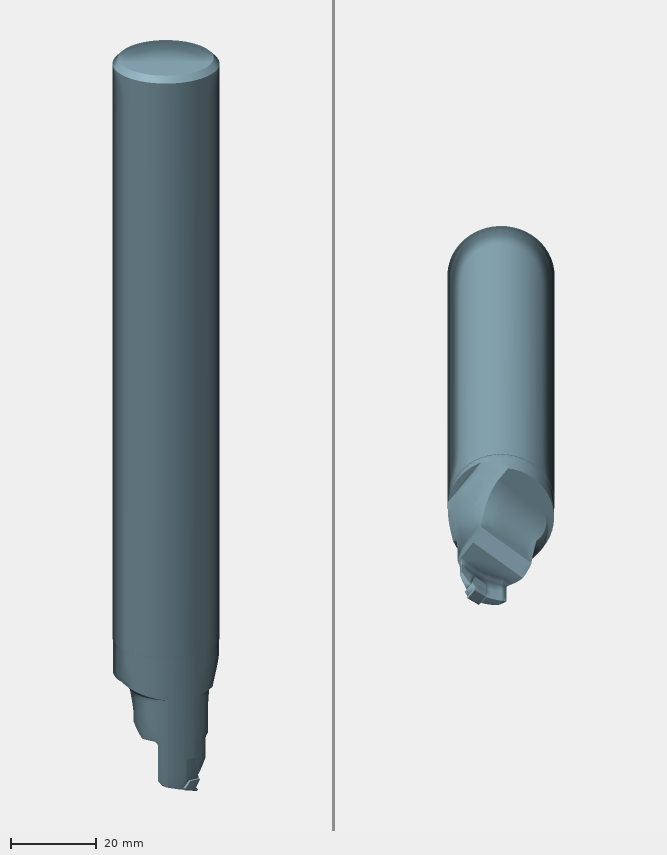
import cadquery as cq
import math


overall_length = 180.0
shank_radius = 24.96 / 2
neck_radius = 24.75 / 2
neck_top_z = 34.5
shank_chamfer = 1.4

head_radius = 9.5
head_back_y = -10.4
head_center_x = neck_radius - head_radius
head_center_y = head_back_y + head_radius
cone_bottom_z = 23.6
head_floor_z = 26.0
cone_height = head_floor_z - cone_bottom_z

head_face_x = 1.65
face_arc_radius = 8.8
face_arc_center_z = head_floor_z - face_arc_radius
face_chamfer_top_z = 16.2
shelf_z = 13.0
face_chamfer = face_chamfer_top_z - shelf_z

head_side_y = 4.4
side_floor_z = 31.7
side_arc_radius = 17.4
side_arc_center_z = 18.3

blade_face_x = 8.75
blade_side_y = 3.3
hollow_radius = 20.0
hollow_center_y = 1.3
hollow_edge_y = -7.2
blade_slope_top_z = 7.4
blade_slope_end = (0.7, 4.0)
blade_low_corner = (-3.4, 0.9)
blade_heel_corner = (-7.2, 1.8)
blade_back_corner = (-8.4, 3.2)
blade_root_fillet = 1.0

insert_face_x = 9.9
insert_rear_x = 12.1
insert_tip_x = 25.23 - shank_radius
insert_width = 3.0
insert_nose_radius = 0.4
insert_top_z = 8.4
insert_back_y = -3.3
insert_back_corner = 0.45
rake_top_y = -0.1
rake_foot = (0.85, 3.0)
rake_hollow = (-0.3, 1.1)
tip_rake = (0.25, 0.5)
tip_y = 0.0
clearance_end_z = 0.9
insert_head_back = (-2.0, 3.0)
insert_heel_z = 1.5

cut_reach = 2 * shank_radius


def cylinder(radius, bottom_z, top_z, x=0.0, y=0.0):
    return cq.Workplane("XY", origin=(x, y, bottom_z)).circle(radius).extrude(top_z - bottom_z)


def side_prism(points, x_start, x_end):
    """Prism along X of an outline given as (y, z) points."""
    return cq.Workplane("YZ", origin=(x_start, 0, 0)).polyline(points).close().extrude(x_end - x_start)


def head_round(bottom_z, top_z):
    """Off-centre round of the head, kept within the neck diameter."""
    off_center = cylinder(head_radius, bottom_z, top_z, head_center_x, head_center_y)
    return off_center.intersect(cylinder(neck_radius, bottom_z, top_z))


def make_shank_and_neck():
    shank = cylinder(shank_radius, neck_top_z, overall_length).faces(">Z").chamfer(shank_chamfer)
    return shank.union(cylinder(neck_radius, head_floor_z, neck_top_z))


def make_head():
    """Off-centre round with a 45 degree cone that runs out into the neck."""
    cone = cq.Workplane(cq.Solid.makeCone(
        head_radius, head_radius + cone_height, cone_height,
        pnt=cq.Vector(head_center_x, head_center_y, cone_bottom_z)))
    cone = cone.intersect(cylinder(neck_radius, cone_bottom_z, head_floor_z))
    return head_round(shelf_z, cone_bottom_z).union(cone)


def make_face_relief():
    """Concave arc, short flat and 45 degree chamfer on the -X side."""
    arc_center_x = head_face_x - face_arc_radius
    diagonal = face_arc_radius * math.sqrt(0.5)
    return (
        cq.Workplane("XZ", origin=(0, cut_reach, 0))
        .moveTo(-cut_reach, head_floor_z)
        .lineTo(arc_center_x, head_floor_z)
        .threePointArc((arc_center_x + diagonal, face_arc_center_z + diagonal),
                       (head_face_x, face_arc_center_z))
        .lineTo(head_face_x, face_chamfer_top_z)
        .lineTo(head_face_x + face_chamfer, shelf_z)
        .lineTo(-cut_reach, shelf_z)
        .close()
        .extrude(2 * cut_reach)
    )


def make_side_relief():
    """Concave arc on the +Y side, from the flat head side up to the neck."""
    arc_center_y = head_side_y + side_arc_radius
    end_angle = math.asin((side_floor_z - side_arc_center_z) / side_arc_radius)

    def arc_point(angle):
        return (arc_center_y - side_arc_radius * math.cos(angle),
                side_arc_center_z + side_arc_radius * math.sin(angle))

    return (
        cq.Workplane("YZ", origin=(-cut_reach, 0, 0))
        .moveTo(head_side_y, shelf_z)
        .lineTo(head_side_y, side_arc_center_z)
        .threePointArc(arc_point(end_angle / 2), arc_point(end_angle))
        .lineTo(cut_reach, side_floor_z)
        .lineTo(cut_reach, shelf_z)
        .close()
        .extrude(2 * cut_reach)
    )


def make_blade():
    """Thin curved blade: round outside, hollow inside, sloped at its lower end."""
    outline = [
        (blade_side_y, shelf_z),
        (blade_side_y, blade_slope_top_z),
        blade_slope_end,
        blade_low_corner,
        blade_heel_corner,
        blade_back_corner,
        (-cut_reach, blade_back_corner[1]),
        (-cut_reach, shelf_z),
    ]
    hollow_half_chord = hollow_center_y - hollow_edge_y
    hollow_center_x = blade_face_x - math.sqrt(hollow_radius ** 2 - hollow_half_chord ** 2)
    blade = side_prism(outline, blade_face_x, cut_reach)
    blade = blade.intersect(head_round(0, shelf_z))
    return blade.cut(cylinder(hollow_radius, 0, shelf_z, hollow_center_x, hollow_center_y))


def make_insert():
    """Flat shank seated in the blade, with a wider cutting head at its lower end."""
    shank_outline = [
        (rake_top_y, insert_top_z),
        rake_foot,
        (insert_back_y, rake_foot[1]),
        (insert_back_y, insert_top_z - insert_back_corner),
        (insert_back_y + insert_back_corner, insert_top_z),
    ]
    head_outline = [
        rake_foot,
        rake_hollow,
        tip_rake,
        (tip_y, 0),
        (insert_back_y, clearance_end_z),
        (insert_back_y, insert_heel_z),
        insert_head_back,
    ]
    foot_outline = [
        insert_head_back,
        (insert_back_y, insert_heel_z),
        (insert_back_y, insert_head_back[1]),
    ]
    shank = side_prism(shank_outline, insert_face_x, insert_rear_x)
    foot = side_prism(foot_outline, insert_face_x, insert_rear_x)
    shank = shank.union(foot).intersect(head_round(0, shelf_z))
    head_sides = (insert_tip_x - insert_width, insert_tip_x)
    head = side_prism(head_outline, *head_sides)
    for side_x in head_sides:
        clearance_middle = (side_x, (tip_y + insert_back_y) / 2, clearance_end_z / 2)
        nose_edge = cq.selectors.NearestToPointSelector(clearance_middle)
        head = head.edges(nose_edge).fillet(insert_nose_radius)
    return shank.union(head)


def make_seat():
    """Slot through the blade that holds the insert."""
    outline = [
        (rake_top_y, insert_top_z),
        rake_foot,
        (rake_foot[0], 0),
        (insert_back_y, 0),
        (insert_back_y, insert_top_z - insert_back_corner),
        (insert_back_y + insert_back_corner, insert_top_z),
    ]
    return side_prism(outline, 0, cut_reach)


def make_bar():
    head = make_head()
    bar = make_shank_and_neck().union(head).cut(make_face_relief()).cut(make_side_relief())
    bar = bar.union(make_blade())
    margin = 0.1
    blade_root = cq.selectors.BoxSelector(
        (blade_face_x - margin, head_back_y, shelf_z - margin),
        (neck_radius, blade_side_y + margin, shelf_z + margin),
        boundingbox=True)
    bar = bar.edges(blade_root).fillet(blade_root_fillet)
    return bar.cut(make_seat())


bar = make_bar()
insert = make_insert()
result = cq.Compound.makeCompound([bar.solids().val(), insert.solids().val()])